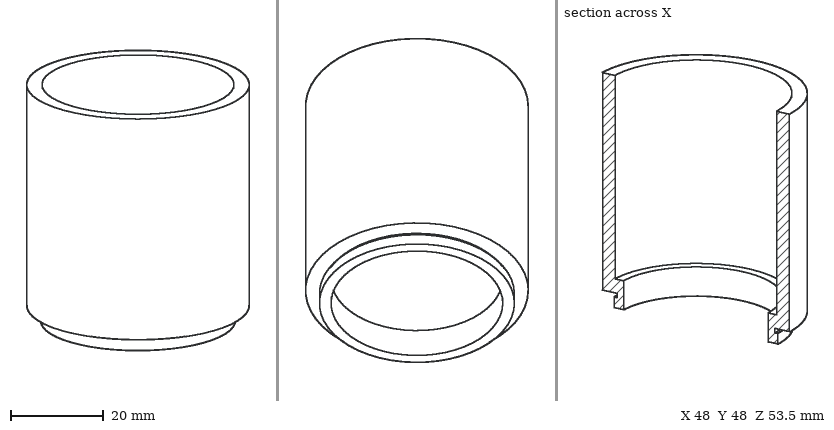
import cadquery as cq

total_height = 53.45
body_diameter = 48.0

lip_diameter = 42.0
lip_height = 2.5
groove_diameter = 40.6
groove_height = 0.9
shoulder_z = lip_height + groove_height

upper_bore_diameter = 41.35
lower_bore_diameter = 37.0
wall_thickness = (body_diameter - upper_bore_diameter) / 2
bore_step_z = shoulder_z + wall_thickness


def cylinder(diameter, bottom_z, top_z):
    """Solid cylinder about the Z axis between two heights."""
    return cq.Workplane("XY").workplane(offset=bottom_z).circle(diameter / 2).extrude(top_z - bottom_z)


lip = cylinder(lip_diameter, 0, lip_height)
groove_core = cylinder(groove_diameter, lip_height, shoulder_z)
body = cylinder(body_diameter, shoulder_z, total_height)
outer = body.union(groove_core).union(lip)

lower_bore = cylinder(lower_bore_diameter, 0, total_height)
upper_bore = cylinder(upper_bore_diameter, bore_step_z, total_height)

result = outer.cut(lower_bore).cut(upper_bore)